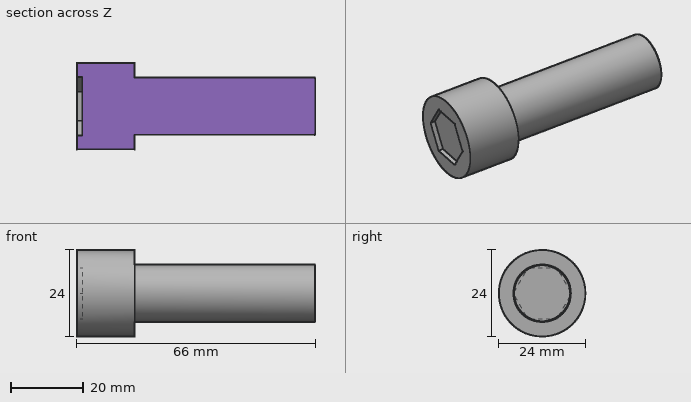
import cadquery as cq

total_length = 66.0
head_diameter = 24.0
shank_diameter = 16.0
head_height = shank_diameter
socket_flats = 14.0
socket_depth = 1.45
tip_chamfer = 0.25

shank_length = total_length - head_height
head_start = -total_length / 2
head_end = head_start + head_height


def make_cylinder(start, diameter, length):
    """Cylinder on the X axis, growing toward +X from its start."""
    return cq.Workplane("YZ", origin=(start, 0, 0)).circle(diameter / 2).extrude(length)


def make_socket():
    """Hexagonal recess with two flats facing up and down and corners on the Y axis."""
    flats_to_corners = 2 / 3**0.5
    return (
        cq.Workplane("YZ", origin=(head_start, 0, 0))
        .polygon(6, socket_flats * flats_to_corners)
        .extrude(socket_depth)
    )


head = make_cylinder(head_start, head_diameter, head_height)
shank = make_cylinder(head_end, shank_diameter, shank_length).faces(">X").chamfer(tip_chamfer)

result = head.union(shank).cut(make_socket())